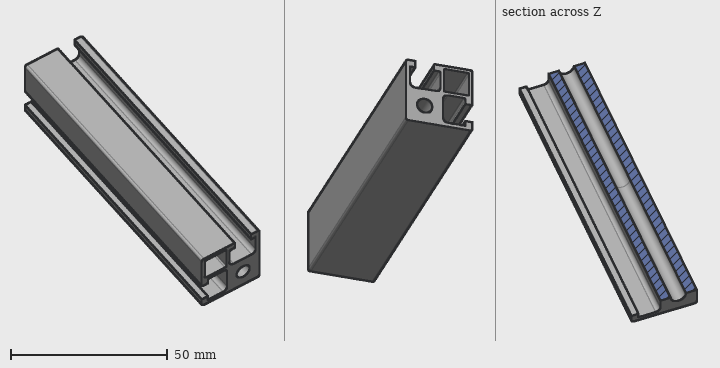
import cadquery as cq

length = 100.0
side = 22.5
half_side = side / 2
outer_radius = 0.9

slot_axis_offset = 6.4
mouth_width = 6.3
lip_thickness = 2.4
slot_depth = 9.9
outer_wall = 1.5
cavity_width = 10.2
floor_radius = 1.6
lip_radius = 0.6
mouth_edge_radius = 0.4

tube_wall = 1.2
tube_bore = 8.4
bore_radius = 0.5

core_diameter = 5.1


def bar(y_min, y_max, z_min, z_max):
    """Full-length rectangular bar centred on X."""
    return cq.Workplane("XY").box(length, y_max - y_min, z_max - z_min).translate(
        (0, (y_min + y_max) / 2, (z_min + z_max) / 2)
    )


def upward_slot():
    """Volume removed by the T-slot in the top face."""
    mouth_center = half_side - slot_axis_offset
    floor = half_side - slot_depth
    mouth = bar(mouth_center - mouth_width / 2, mouth_center + mouth_width / 2, floor, half_side)
    cavity_outer = half_side - outer_wall
    cavity = bar(cavity_outer - cavity_width, cavity_outer, floor, half_side - lip_thickness)
    cavity = cavity.edges("|X and <Z").fillet(floor_radius)
    cavity = cavity.edges("|X").edges(">Z").edges("<Y").fillet(lip_radius)
    return cavity.union(mouth)


def sideways_slot():
    """The top slot reflected in the diagonal plane, opening toward -Y."""
    return upward_slot().mirror("XZ").rotate((0, 0, 0), (1, 0, 0), 90)


def tube_opening():
    """Square bore in the -Y, +Z corner."""
    y_min = -half_side + tube_wall
    z_max = half_side - tube_wall
    bore = bar(y_min, y_min + tube_bore, z_max - tube_bore, z_max)
    return bore.edges("|X").fillet(bore_radius)


def core_hole():
    """Round through hole in the solid +Y, -Z corner."""
    center = half_side - slot_axis_offset
    hole = cq.Workplane("YZ").center(center, -center).circle(core_diameter / 2)
    return hole.extrude(length / 2, both=True)


body = bar(-half_side, half_side, -half_side, half_side)
body = body.edges("|X").fillet(outer_radius)
body = body.cut(upward_slot()).cut(sideways_slot()).cut(tube_opening()).cut(core_hole())

mouth_edge = half_side - slot_axis_offset - mouth_width / 2
top_mouth_edge = cq.selectors.NearestToPointSelector((0, mouth_edge, half_side))
side_mouth_edge = cq.selectors.NearestToPointSelector((0, -half_side, -mouth_edge))
result = body.edges(top_mouth_edge + side_mouth_edge).fillet(mouth_edge_radius)